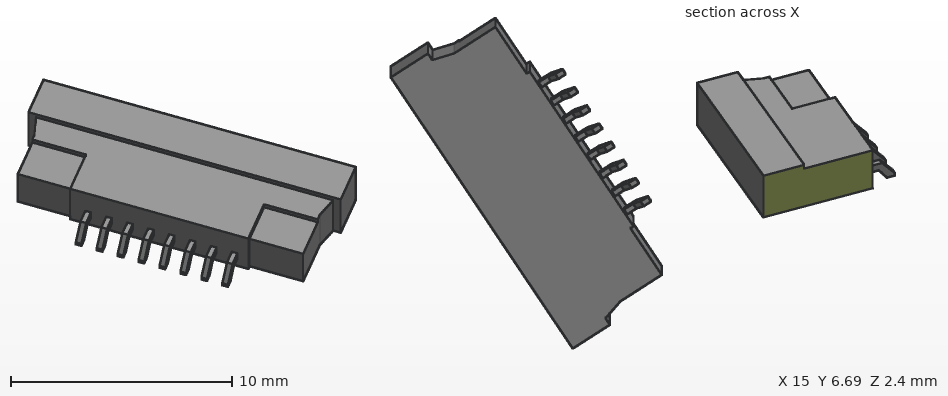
import cadquery as cq

bar_width = 15.0
bar_depth = 2.01
bar_height = 2.4

shoulder_width = 14.28
body_width = 13.71
taper_depth = 0.99
body_height = 2.19

ear_height = 1.98
ear_rear_y = -3.28
ear_front_y = -5.24
nose_width = 8.55
nose_front_y = -5.4

pin_count = 8
pin_pitch = 1.0
pin_width = 0.27
pin_row_offset = 0.1
pin_top = 0.92
pin_thickness = 0.38
pin_tip_y = -6.69
pin_tip_height = 0.15
pin_top_bend_y = -6.06
pin_bottom_bend_y = -5.9
pin_foot_y = -6.3
pin_embed = 0.15


def make_housing():
    bar = cq.Workplane("XY").box(bar_width, bar_depth, bar_height, centered=(True, False, False))
    bar = bar.translate((0, -bar_depth, 0))

    taper_end_y = -bar_depth - taper_depth
    right_side = [
        (shoulder_width / 2, -bar_depth),
        (body_width / 2, taper_end_y),
        (body_width / 2, ear_front_y),
        (nose_width / 2, ear_front_y),
        (nose_width / 2, nose_front_y),
    ]
    left_side = [(-x, y) for x, y in reversed(right_side)]
    body = cq.Workplane("XY").polyline(right_side + left_side).close().extrude(body_height)
    return bar.union(body)


def make_ear_step(side):
    """Volume removed above one ear; side is +1 or -1."""
    step_width = (body_width - nose_width) / 2
    step_depth = ear_rear_y - ear_front_y
    return (
        cq.Workplane("XY")
        .box(step_width, step_depth, body_height - ear_height, centered=(True, False, False))
        .translate((side * (nose_width + step_width) / 2, ear_front_y, ear_height))
    )


def make_pin(x):
    pin_bottom = pin_top - pin_thickness
    root_y = nose_front_y + pin_embed
    profile = [
        (root_y, pin_top),
        (pin_top_bend_y, pin_top),
        (pin_tip_y, pin_tip_height),
        (pin_tip_y, 0),
        (pin_foot_y, 0),
        (pin_bottom_bend_y, pin_bottom),
        (root_y, pin_bottom),
    ]
    pin = cq.Workplane("YZ").polyline(profile).close().extrude(pin_width / 2, both=True)
    return pin.translate((x, 0, 0))


result = make_housing()
for side in (-1, 1):
    result = result.cut(make_ear_step(side))
for index in range(pin_count):
    pin_x = pin_row_offset + (index - (pin_count - 1) / 2) * pin_pitch
    result = result.union(make_pin(pin_x))